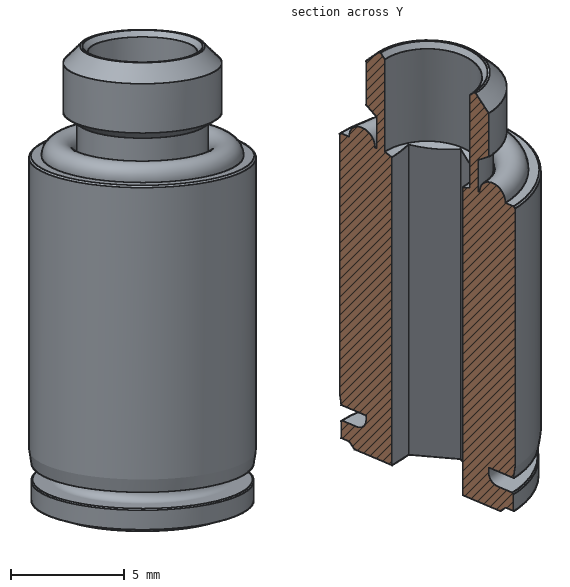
import cadquery as cq
import math

total_height = 21.0
body_diameter = 10.0

stud_diameter = 7.0
stud_tip_diameter = 5.5
stud_tip_height = 0.75
stud_length = 3.4
neck_diameter = 5.8
stud_relief_height = 0.4

body_top = 16.0
body_bottom = 2.0
body_top_chamfer = 0.08
body_taper_height = 0.6
body_taper_diameter = 9.8

ring_outer_diameter = 8.9
ring_section_diameter = 1.5

collar_neck_diameter = stud_diameter
collar_diameter = body_taper_diameter
collar_top = 1.24
collar_bottom = 0.3
collar_fillet = 0.5
collar_edge_chamfer = 0.06
foot_top_diameter = ring_outer_diameter
foot_bottom_diameter = 8.27

bore_diameter = 4.8
bore_mouth_diameter = 5.3
bore_bottom = body_top
bore_floor_angle = 19.0
bore_mouth_depth = (bore_mouth_diameter - bore_diameter) / 2
hexagon_across_flats = 4.01
hexagon_across_corners = hexagon_across_flats / math.cos(math.pi / 6)


def turned_outer_shape():
    """Revolve the half section of stud, body and collar about Z."""
    stud_r = stud_diameter / 2
    neck_r = neck_diameter / 2
    ring_r = ring_outer_diameter / 2
    body_r = body_diameter / 2
    collar_r = collar_diameter / 2
    collar_neck_r = collar_neck_diameter / 2
    stud_bottom = total_height - stud_length
    ring_section_r = ring_section_diameter / 2
    ring_top = (ring_r - ring_section_r, body_top + ring_section_r)
    ring_inner_edge = (ring_r - ring_section_diameter, body_top)
    fillet_middle = collar_fillet * (1 - math.sqrt(0.5))

    section = (
        cq.Workplane("XZ")
        .moveTo(0, 0)
        .lineTo(foot_bottom_diameter / 2, 0)
        .lineTo(foot_top_diameter / 2, collar_bottom)
        .lineTo(collar_r, collar_bottom)
        .lineTo(collar_r, collar_top - collar_edge_chamfer)
        .lineTo(collar_r - collar_edge_chamfer, collar_top)
        .lineTo(collar_neck_r + collar_fillet, collar_top)
        .threePointArc(
            (collar_neck_r + fillet_middle, collar_top + fillet_middle),
            (collar_neck_r, collar_top + collar_fillet),
        )
        .lineTo(collar_neck_r, body_bottom)
        .lineTo(body_taper_diameter / 2, body_bottom)
        .lineTo(body_r, body_bottom + body_taper_height)
        .lineTo(body_r, body_top - body_top_chamfer)
        .lineTo(body_r - body_top_chamfer, body_top)
        .lineTo(ring_r, body_top)
        .threePointArc(ring_top, ring_inner_edge)
        .lineTo(neck_r, body_top)
        .lineTo(neck_r, stud_bottom)
        .lineTo(stud_r, stud_bottom + stud_relief_height)
        .lineTo(stud_r, total_height - stud_tip_height)
        .lineTo(stud_tip_diameter / 2, total_height)
        .lineTo(0, total_height)
        .close()
    )
    return section.revolve(360, (0, 0, 0), (0, 1, 0))


def round_bore():
    """Bore from the top face, with a conical mouth and a conical floor."""
    bore_r = bore_diameter / 2
    floor_depth = bore_r * math.tan(math.radians(bore_floor_angle))
    section = (
        cq.Workplane("XZ")
        .moveTo(0, bore_bottom - floor_depth)
        .lineTo(bore_r, bore_bottom)
        .lineTo(bore_r, total_height - bore_mouth_depth)
        .lineTo(bore_mouth_diameter / 2, total_height)
        .lineTo(0, total_height)
        .close()
    )
    return section.revolve(360, (0, 0, 0), (0, 1, 0))


def hexagon_passage():
    """Hexagon from the bottom face up to the bore, with two corners on the Y axis."""
    return (
        cq.Workplane("XY")
        .transformed(rotate=(0, 0, 90))
        .polygon(6, hexagon_across_corners)
        .extrude(bore_bottom)
    )


result = turned_outer_shape().cut(round_bore()).cut(hexagon_passage())